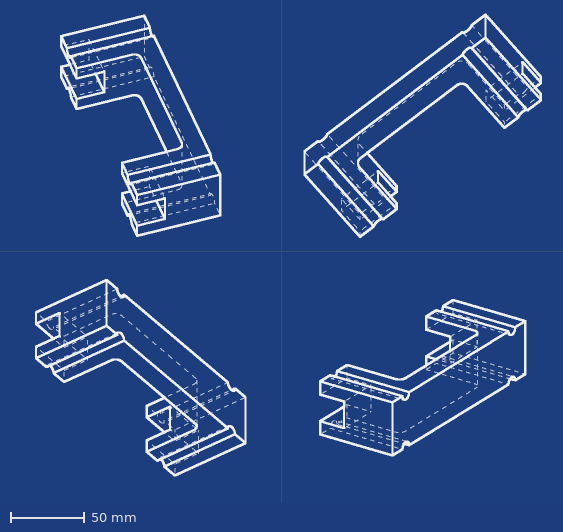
import cadquery as cq

length = 160.0
depth = 60.0
height = 40.0

leg_width = 32.5
bridge_thickness = 15.0
inner_corner_radius = 5.0

slot_depth = 20.0
slot_height = height / 2

groove_radius = 4.0
groove_offset = (length - leg_width) / 2


def bracket_body():
    """U-shaped block with rounded inner corners."""
    opening_width = length - 2 * leg_width
    opening_depth = depth - bridge_thickness
    opening = (
        cq.Workplane("XY")
        .box(opening_width, opening_depth, height)
        .edges("|Z and >Y")
        .fillet(inner_corner_radius)
        .translate((0, -bridge_thickness / 2, 0))
    )
    return cq.Workplane("XY").box(length, depth, height).cut(opening)


def leg_slot():
    """Cutter that forks the front ends of both legs."""
    slot_center_y = (slot_depth - depth) / 2
    return (
        cq.Workplane("XY")
        .box(length, slot_depth, slot_height)
        .translate((0, slot_center_y, 0))
    )


def leg_grooves():
    """Four cylinders centred on the top and bottom faces, running along Y."""
    centers = [
        (side * groove_offset, face * height / 2)
        for side in (-1, 1)
        for face in (-1, 1)
    ]
    return (
        cq.Workplane("XZ", origin=(0, depth / 2, 0))
        .pushPoints(centers)
        .circle(groove_radius)
        .extrude(depth)
    )


result = bracket_body().cut(leg_slot()).cut(leg_grooves())